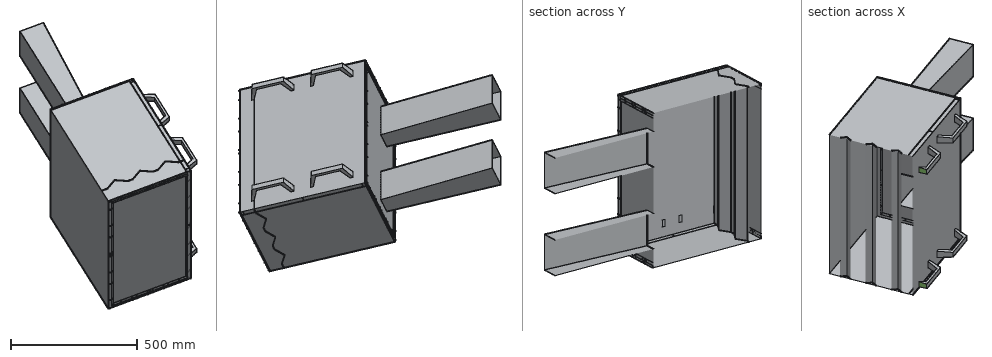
import cadquery as cq

overall_length = 1007.0
overall_depth = 427.0
overall_height = 667.0

rivet_height = 2.5
rivet_diameter = 4.0
housing_start = 474.0
housing_end = overall_length - rivet_height
housing_middle = (housing_start + housing_end) / 2
housing_depth = 367.0
sheet = 3.0

small_step = 0.5
plate_half_height = overall_height / 2
skin_half_height = plate_half_height - small_step
box_half_height = skin_half_height - small_step
front_edge_radius = 2.0
cover_recess = 0.75

end_panel_start = housing_start + sheet
end_panel_finish = housing_end - sheet
border_width = 24.0
back_strip_width = 18.0
back_strip_front = housing_depth - back_strip_width
rim_width_z = 12.0
rim_front_edge = 15.0
ring_recess = 1.5
back_strip_recess = 0.75
seam_width = 3.0
seam_depth = 2.5

border_center_y = (sheet + housing_depth) / 2
outer_row_y = 177.0
inner_row_y = 164.0
outer_row_z = 329.0
inner_row_z = 315.5
rivet_offsets_y = (11.0, 60.0, 79.0, 128.5)
rivet_offsets_z = (9.5, 109.0, 179.0, 279.0)

ledge_corner_length = 15.0
ledge_seam_width = 2.0
skin_seam_width = 3.0

plate_thickness = 2.5
plate_front_gap = 2.0
plate_back_x = 941.0
plate_fold_depth = 27.0
fold_pitch = 111.5
fold_half_width = 45.0
first_fold_y = 72.0
fold_count = 3

duct_height = 154.5
duct_center_z = 175.5
duct_front_y = 97.0
duct_mouth_width = 105.0
duct_throat_width = 75.0
duct_wall = 2.0
panel_lip = 1.5

handle_spacing_x = 248.0
handle_center_z = 273.0
handle_foot_span = 179.0
handle_grip_span = 131.0
handle_inner_foot_span = 154.0
handle_inner_grip_span = 102.0
grip_thickness = 10.5
handle_foot_height = 30.0
handle_grip_height = 23.0


def block(x_range, y_range, z_range):
    """Axis-aligned box between the given limits."""
    size = [high - low for low, high in (x_range, y_range, z_range)]
    origin = (x_range[0], y_range[0], z_range[0])
    return cq.Workplane("XY").box(*size, centered=False).translate(origin)


def make_housing():
    """Hollow box with a rounded front cover and raised top and bottom skins."""
    box = block(
        (end_panel_start, end_panel_finish), (0, housing_depth), (-box_half_height, box_half_height)
    )
    front_cover = block(
        (housing_start + cover_recess, housing_end - cover_recess),
        (0, sheet),
        (-skin_half_height, skin_half_height),
    )
    front_cover = front_cover.edges("|X and <Y").fillet(front_edge_radius)
    skins = block(
        (end_panel_start, end_panel_finish),
        (sheet, back_strip_front - skin_seam_width),
        (-skin_half_height, skin_half_height),
    )
    cavity = block(
        (end_panel_start + sheet, end_panel_finish - sheet),
        (sheet, housing_depth - sheet),
        (sheet - box_half_height, box_half_height - sheet),
    )
    return box.union(skins).edges("<Y and |X").fillet(front_edge_radius).union(front_cover).cut(cavity)


def make_end_border():
    """Stepped border and rivets of the -X end."""
    full_z = (-box_half_height, box_half_height)
    ring_half_height = plate_half_height - border_width
    rim_half_height = plate_half_height - rim_width_z

    ring = block((housing_start + ring_recess, end_panel_start), (sheet, housing_depth), full_z)
    rim = block((housing_start, end_panel_start), (sheet, back_strip_front), full_z)
    rim = rim.cut(
        block(
            (housing_start, end_panel_start),
            (rim_front_edge, back_strip_front),
            (-rim_half_height, rim_half_height),
        )
    )
    back_strip = block(
        (housing_start + back_strip_recess, end_panel_start),
        (back_strip_front, housing_depth - sheet),
        full_z,
    )
    opening = block(
        (housing_start, end_panel_start),
        (border_width, housing_depth - border_width),
        (-ring_half_height, ring_half_height),
    )
    border = ring.union(rim).union(back_strip).cut(opening)

    seam_x = (housing_start, housing_start + seam_depth)
    half_seam = seam_width / 2
    side_seams = block(seam_x, (sheet, housing_depth - sheet), (-half_seam, half_seam))
    end_seams = block(seam_x, (border_center_y - half_seam, border_center_y + half_seam), full_z)
    return border.cut(side_seams).cut(end_seams).union(make_rivets())


def make_rivets():
    """Two rows of rivets all round the border of the -X end."""
    points = []
    for row_y, row_z in ((outer_row_y, outer_row_z), (inner_row_y, inner_row_z)):
        for side_y in (-1, 1):
            for side_z in (-1, 1):
                for offset in rivet_offsets_y + (row_y,):
                    points.append((border_center_y + side_y * offset, side_z * row_z))
                for offset in rivet_offsets_z:
                    points.append((border_center_y + side_y * row_y, side_z * offset))
    rivets = cq.Workplane("YZ").pushPoints(points).circle(rivet_diameter / 2)
    return rivets.extrude(rivet_height + sheet).translate((housing_start - rivet_height, 0, 0))


def cut_ledge_seams(body):
    """Shallow grooves across the top and bottom ledge, and along the skin in front of it."""
    corner_inset = ledge_corner_length + ledge_seam_width / 2
    cross_seam = cq.Workplane("XY").box(ledge_seam_width, back_strip_width, 2 * small_step)
    cross_seam_y = back_strip_front + back_strip_width / 2
    skin_seam = cq.Workplane("XY").box(housing_end - housing_start, skin_seam_width, 2 * small_step)
    skin_seam_y = back_strip_front - skin_seam_width / 2
    for z in (-box_half_height, box_half_height):
        body = body.cut(skin_seam.translate((housing_middle, skin_seam_y, z)))
        for x in (housing_start + corner_inset, housing_middle, housing_end - corner_inset):
            body = body.cut(cross_seam.translate((x, cross_seam_y, z)))
    return body


def make_deflector():
    """Corrugated plate, folded towards the ducts, standing across the housing."""
    path = [(plate_back_x, sheet + plate_front_gap)]
    for index in range(fold_count):
        fold_y = first_fold_y + index * fold_pitch
        path.append((plate_back_x, fold_y - fold_half_width))
        path.append((plate_back_x - plate_fold_depth, fold_y))
        path.append((plate_back_x, fold_y + fold_half_width))
    path.append((plate_back_x, housing_depth - small_step))
    rear_path = [(x + plate_thickness, y) for x, y in reversed(path)]
    plate = cq.Workplane("XY").polyline(path + rear_path).close()
    return plate.extrude(plate_half_height, both=True)


def duct_block(wall):
    """Tapered duct body, drawn in by a wall thickness on all four sides."""
    outline = [
        (0, duct_front_y + wall),
        (end_panel_start, duct_front_y + wall),
        (end_panel_start, duct_front_y + duct_throat_width - wall),
        (0, duct_front_y + duct_mouth_width - wall),
    ]
    height = duct_height - 2 * wall
    return cq.Workplane("XY").polyline(outline).close().extrude(height / 2, both=True)


def add_ducts(body):
    """Two ducts that open into the housing; the end panel leaves a lip along the tapered wall."""
    tube = duct_block(0)
    panel_opening = block(
        (end_panel_start, end_panel_start + sheet),
        (duct_front_y + duct_wall, duct_front_y + duct_throat_width - duct_wall - panel_lip),
        (duct_wall - duct_height / 2, duct_height / 2 - duct_wall),
    )
    passage = duct_block(duct_wall).union(panel_opening)
    for z in (-duct_center_z, duct_center_z):
        body = body.union(tube.translate((0, 0, z))).cut(passage.translate((0, 0, z)))
    return body


def make_handle():
    """Trapezoidal bow handle that narrows in Z towards the grip."""
    grip_inner_y = overall_depth - grip_thickness
    outline = [
        (-handle_foot_span / 2, housing_depth),
        (-handle_grip_span / 2, overall_depth),
        (handle_grip_span / 2, overall_depth),
        (handle_foot_span / 2, housing_depth),
        (handle_inner_foot_span / 2, housing_depth),
        (handle_inner_grip_span / 2, grip_inner_y),
        (-handle_inner_grip_span / 2, grip_inner_y),
        (-handle_inner_foot_span / 2, housing_depth),
    ]
    bow = cq.Workplane("XY").polyline(outline).close().extrude(handle_foot_height / 2, both=True)
    taper = [
        (housing_depth, -handle_foot_height / 2),
        (overall_depth, -handle_grip_height / 2),
        (overall_depth, handle_grip_height / 2),
        (housing_depth, handle_foot_height / 2),
    ]
    wedge = cq.Workplane("YZ").polyline(taper).close().extrude(handle_foot_span / 2, both=True)
    return bow.intersect(wedge)


def add_handles(body):
    """Four handles on the back of the housing."""
    handle = make_handle()
    for side_x in (-1, 1):
        for side_z in (-1, 1):
            x = housing_middle + side_x * handle_spacing_x / 2
            body = body.union(handle.translate((x, 0, side_z * handle_center_z)))
    return body


border = make_end_border()
far_border = border.mirror("YZ", (housing_middle, 0, 0))
result = cut_ledge_seams(make_housing().union(border).union(far_border))
result = result.union(make_deflector())
result = add_handles(add_ducts(result))